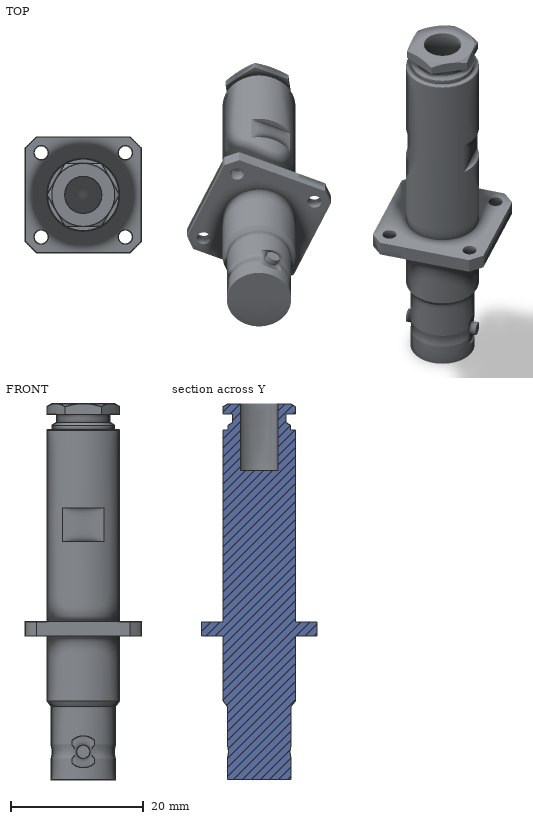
import cadquery as cq
import math

TOTAL_HEIGHT = 56.75

SPIGOT_RADIUS = 4.85
SPIGOT_CONE_START_Z = 11.1
PIN_Z = 4.25
PIN_RADIUS = 1.0
PIN_SPAN = 11.0
GROOVE_HALF_WIDTH = 1.03
GROOVE_DEPTH = 0.15
PIN_SEAT_RADIUS = 2.4
PIN_SEAT_SPAN = 9.1

BARREL_RADIUS = 5.5
BARREL_CONE_END_Z = 11.95
BARREL_TOP_Z = 52.85
BARREL_TOP_CHAMFER = 0.1
WRENCH_FLAT_BOTTOM_Z = 36.0
WRENCH_FLAT_HEIGHT = 5.0
WRENCH_FLAT_SPAN = 9.0

FLANGE_SIZE = 17.5
FLANGE_BOTTOM_Z = 21.7
FLANGE_THICKNESS = 2.2
FLANGE_CORNER_CHAMFER = 1.7
MOUNT_HOLE_SPACING = 12.7
MOUNT_HOLE_DIAMETER = 2.1

COLLAR_EDGE_Z = 53.5
NECK_RADIUS = 4.05
NECK_START_Z = 53.95
HEX_THICKNESS = 1.6
HEX_FLAT_SPAN = 9.5
HEX_CHAMFER_ANGLE = 30
HEX_HALF_SIDE_ANGLE = 30
CABLE_BORE_DIAMETER = 5.6
CABLE_BORE_DEPTH = 10.0

COLLAR_RADIUS = HEX_FLAT_SPAN / 2
HEX_BOTTOM_Z = TOTAL_HEIGHT - HEX_THICKNESS
HEX_CORNER_SPAN = HEX_FLAT_SPAN / math.cos(math.radians(HEX_HALF_SIDE_ANGLE))


def make_turned_body():
    """Spigot, barrel, collar and neck as one revolved profile around Z."""
    profile = (
        cq.Workplane("XZ")
        .moveTo(0, 0)
        .lineTo(SPIGOT_RADIUS, 0)
        .lineTo(SPIGOT_RADIUS, PIN_Z - GROOVE_HALF_WIDTH)
        .threePointArc(
            (SPIGOT_RADIUS - GROOVE_DEPTH, PIN_Z),
            (SPIGOT_RADIUS, PIN_Z + GROOVE_HALF_WIDTH),
        )
        .lineTo(SPIGOT_RADIUS, SPIGOT_CONE_START_Z)
        .lineTo(BARREL_RADIUS, BARREL_CONE_END_Z)
        .lineTo(BARREL_RADIUS, BARREL_TOP_Z - BARREL_TOP_CHAMFER)
        .lineTo(BARREL_RADIUS - BARREL_TOP_CHAMFER, BARREL_TOP_Z)
        .lineTo(COLLAR_RADIUS, BARREL_TOP_Z)
        .lineTo(COLLAR_RADIUS, COLLAR_EDGE_Z)
        .lineTo(NECK_RADIUS, NECK_START_Z)
        .lineTo(NECK_RADIUS, HEX_BOTTOM_Z)
        .lineTo(0, HEX_BOTTOM_Z)
        .close()
    )
    return profile.revolve(360, (0, 0, 0), (0, 1, 0))


def make_flange():
    """Square flange with cut corners and a mounting hole near each corner."""
    return (
        cq.Workplane("XY")
        .workplane(offset=FLANGE_BOTTOM_Z)
        .rect(FLANGE_SIZE, FLANGE_SIZE)
        .extrude(FLANGE_THICKNESS)
        .edges("|Z")
        .chamfer(FLANGE_CORNER_CHAMFER)
        .faces(">Z")
        .workplane()
        .rect(MOUNT_HOLE_SPACING, MOUNT_HOLE_SPACING, forConstruction=True)
        .vertices()
        .hole(MOUNT_HOLE_DIAMETER)
    )


def make_hex_head():
    """Hexagon with corners on X, its top corners turned off by a cone."""
    hexagon = (
        cq.Workplane("XY")
        .workplane(offset=HEX_BOTTOM_Z)
        .polygon(6, HEX_CORNER_SPAN)
        .extrude(HEX_THICKNESS)
    )
    top_radius = HEX_FLAT_SPAN / 2
    cone_slope = math.tan(math.radians(HEX_CHAMFER_ANGLE))
    base_radius = top_radius + HEX_THICKNESS / cone_slope
    cone = (
        cq.Workplane("XY")
        .workplane(offset=HEX_BOTTOM_Z)
        .circle(base_radius)
        .workplane(offset=HEX_THICKNESS)
        .circle(top_radius)
        .loft(ruled=True)
    )
    return hexagon.intersect(cone)


def make_wrench_flat_cut(side):
    """Block that cuts one barrel flat, on the +Y or -Y side."""
    depth = BARREL_RADIUS
    center_y = side * (WRENCH_FLAT_SPAN + depth) / 2
    center_z = WRENCH_FLAT_BOTTOM_Z + WRENCH_FLAT_HEIGHT / 2
    block = cq.Workplane("XY").box(2 * BARREL_RADIUS, depth, WRENCH_FLAT_HEIGHT)
    return block.translate((0, center_y, center_z))


def make_cross_cylinder(radius, start_y, end_y):
    """Cylinder parallel to Y at the bayonet pin height."""
    start = cq.Vector(0, start_y, PIN_Z)
    along_y = cq.Vector(0, 1, 0)
    return cq.Workplane(cq.Solid.makeCylinder(radius, end_y - start_y, start, along_y))


def make_cable_bore():
    """Blind bore from the top of the gland nut."""
    return (
        cq.Workplane("XY")
        .workplane(offset=TOTAL_HEIGHT - CABLE_BORE_DEPTH)
        .circle(CABLE_BORE_DIAMETER / 2)
        .extrude(CABLE_BORE_DEPTH)
    )


def make_pin_seat_cuts():
    """Circular cuts that leave a flat seat around each pin end, on -Y and +Y."""
    seat_y = PIN_SEAT_SPAN / 2
    front_cut = make_cross_cylinder(PIN_SEAT_RADIUS, -BARREL_RADIUS, -seat_y)
    back_cut = make_cross_cylinder(PIN_SEAT_RADIUS, seat_y, BARREL_RADIUS)
    return front_cut.union(back_cut)


result = make_turned_body().union(make_hex_head()).cut(make_cable_bore())
for side in (-1, 1):
    result = result.cut(make_wrench_flat_cut(side))

result = result.cut(make_pin_seat_cuts())
result = result.union(make_cross_cylinder(PIN_RADIUS, -PIN_SPAN / 2, PIN_SPAN / 2))

result = result.union(make_flange())